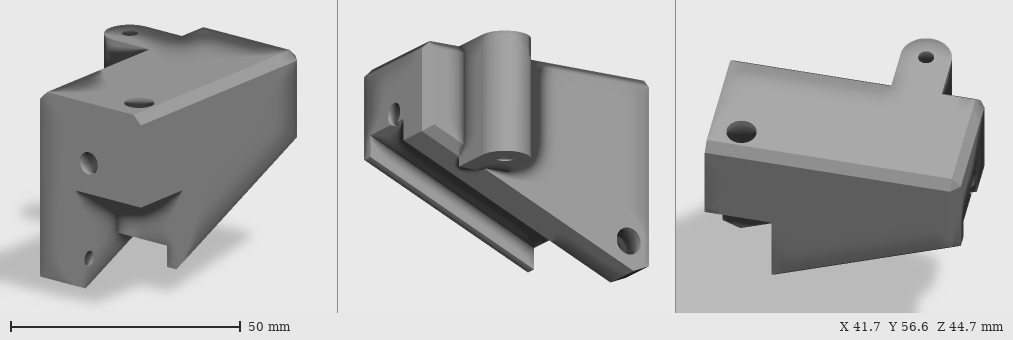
import cadquery as cq
import math


BODY_WIDTH = 28.1
BODY_LENGTH = 56.6
BODY_HEIGHT = 44.68
BACK_HEIGHT = 20.95
TOE_LENGTH = 3.9
TOE_RISE = 1.7
CHAMFER = 2.0
SLOPE = (BODY_HEIGHT - BACK_HEIGHT) / (BODY_LENGTH - TOE_LENGTH)
SLOPE_ANGLE = math.atan(SLOPE)

PLATE_THICKNESS = 9.65
OVERHANG_THICKNESS = BACK_HEIGHT
OVERHANG_LENGTH = 14.9

CHANNEL_WIDTH = 13.9
CHANNEL_DEPTH = 4.9

LUG_RADIUS = 5.64
LUG_REACH = 8.0
LUG_Y = 41.48
LUG_HEIGHT = 27.5
LUG_HOLE_DIAMETER = 3.5

LONG_HOLE_DIAMETER = 5.1
LONG_HOLE_X = 13.6
LONG_HOLE_Z = -13.9
SCREW_DIAMETER = 3.4
TOP_SCREW_X = 22.15
TOP_SCREW_Y = 6.9
TOP_HEAD_DIAMETER = 6.6
TOP_HEAD_DEPTH = 15.0
SIDE_SCREW_Y = 5.1
SIDE_SCREW_Z = -38.05
SIDE_HEAD_DIAMETER = 6.1
SIDE_HEAD_DEPTH = 6.0


def underside_z(y):
    """Height of the sloped underside at a given Y."""
    return -BACK_HEIGHT - SLOPE * (BODY_LENGTH - y)


def make_body():
    """Wedge-shaped block with chamfered top edges and edges on the +X side."""
    body = (
        cq.Workplane("YZ")
        .moveTo(0, 0)
        .lineTo(BODY_LENGTH, 0)
        .lineTo(BODY_LENGTH, -BACK_HEIGHT)
        .lineTo(TOE_LENGTH, -BODY_HEIGHT)
        .lineTo(0, TOE_RISE - BODY_HEIGHT)
        .close()
        .extrude(BODY_WIDTH)
    )
    top_edges = body.faces(">Z").edges("|Y or >Y")
    back_edge = body.edges("|Z and >Y and >X")
    middle_y = (TOE_LENGTH + BODY_LENGTH) / 2
    lip_point = (BODY_WIDTH, middle_y, underside_z(middle_y))
    lip_edge = body.edges(cq.selectors.NearestToPointSelector(lip_point))
    chamfered_edges = top_edges.vals() + back_edge.vals() + lip_edge.vals()
    return body.newObject(chamfered_edges).chamfer(CHAMFER)


def make_plate_back_cut():
    """Prism that chamfers the vertical edge between the plate and the back face."""
    return (
        cq.Workplane("XY")
        .moveTo(0, BODY_LENGTH)
        .lineTo(CHAMFER, BODY_LENGTH)
        .lineTo(0, BODY_LENGTH - CHAMFER)
        .close()
        .extrude(-BODY_HEIGHT)
    )


def make_plate_edge_cut():
    """Prism that chamfers the plate's sloped edge from the lug to the back."""
    slope_drop = CHAMFER / math.cos(SLOPE_ANGLE)

    def section(y):
        edge_z = underside_z(y)
        corners = [(0, edge_z), (CHAMFER, edge_z), (0, edge_z + slope_drop)]
        return cq.Wire.makePolygon([cq.Vector(x, y, z) for x, z in corners], close=True)

    return cq.Workplane(cq.Solid.makeLoft([section(LUG_Y), section(BODY_LENGTH)], True))


def make_front_pocket():
    """Open space below the overhang at the front."""
    width = BODY_WIDTH - PLATE_THICKNESS
    height = BODY_HEIGHT - OVERHANG_THICKNESS
    corner = cq.Vector(PLATE_THICKNESS, 0, -BODY_HEIGHT)
    return cq.Workplane(cq.Solid.makeBox(width, OVERHANG_LENGTH, height, corner))


def make_channel():
    """Slot of constant depth that follows the sloped underside."""
    return (
        cq.Workplane("YZ", origin=(PLATE_THICKNESS, 0, 0))
        .moveTo(0, underside_z(0) + CHANNEL_DEPTH)
        .lineTo(BODY_LENGTH, underside_z(BODY_LENGTH) + CHANNEL_DEPTH)
        .lineTo(BODY_LENGTH, -BODY_HEIGHT)
        .lineTo(0, -BODY_HEIGHT)
        .close()
        .extrude(CHANNEL_WIDTH)
    )


def make_lug():
    """Round-ended lug, flush with the top face, running into the body."""
    root_x = CHAMFER
    return (
        cq.Workplane("XY")
        .moveTo(root_x, LUG_Y - LUG_RADIUS)
        .lineTo(-LUG_REACH, LUG_Y - LUG_RADIUS)
        .threePointArc((-LUG_REACH - LUG_RADIUS, LUG_Y), (-LUG_REACH, LUG_Y + LUG_RADIUS))
        .lineTo(root_x, LUG_Y + LUG_RADIUS)
        .close()
        .extrude(-LUG_HEIGHT)
    )


def bore(start, direction, diameter, depth):
    """Cylinder that starts on a face and runs into the part."""
    cylinder = cq.Solid.makeCylinder(diameter / 2, depth, cq.Vector(*start), cq.Vector(*direction))
    return cq.Workplane(cylinder)


def make_holes():
    """Lug pin hole, lengthwise hole and the two counterbored screw holes."""
    down = (0, 0, -1)
    back = (0, 1, 0)
    inward = (1, 0, 0)
    top_screw = (TOP_SCREW_X, TOP_SCREW_Y, 0)
    side_screw = (0, SIDE_SCREW_Y, SIDE_SCREW_Z)
    return [
        bore((-LUG_REACH, LUG_Y, 0), down, LUG_HOLE_DIAMETER, LUG_HEIGHT),
        bore((LONG_HOLE_X, 0, LONG_HOLE_Z), back, LONG_HOLE_DIAMETER, BODY_LENGTH),
        bore(top_screw, down, SCREW_DIAMETER, OVERHANG_THICKNESS),
        bore(top_screw, down, TOP_HEAD_DIAMETER, TOP_HEAD_DEPTH),
        bore(side_screw, inward, SCREW_DIAMETER, PLATE_THICKNESS),
        bore(side_screw, inward, SIDE_HEAD_DIAMETER, SIDE_HEAD_DEPTH),
    ]


body_cuts = [make_plate_back_cut(), make_plate_edge_cut(), make_front_pocket(), make_channel()]

result = make_body()
for body_cut in body_cuts:
    result = result.cut(body_cut)
result = result.union(make_lug())
for hole in make_holes():
    result = result.cut(hole)